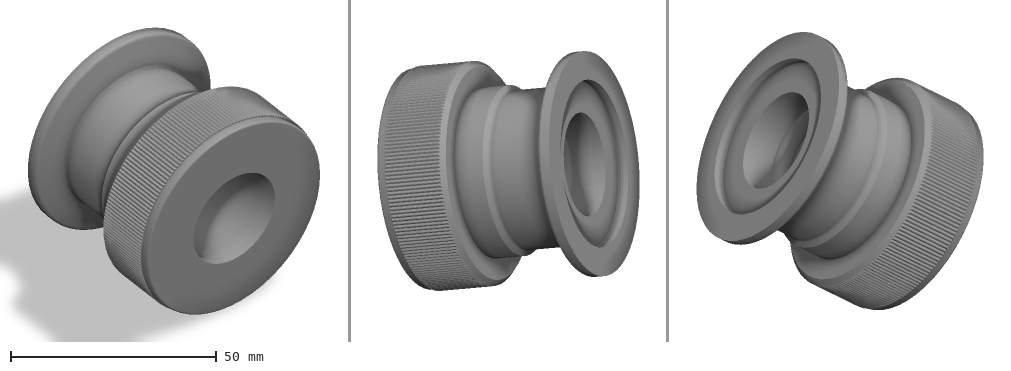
import cadquery as cq
import math


flange_radius = 27.5
flange_rim_end = 2.95
flange_cone_angle = 15.0
flange_rim_fillet = 1.0
neck_radius = 19.5
neck_end = 19.1
neck_fillet = 0.6
collar_radius = 20.9
collar_start = 20.5
collar_end = 41.05
recess_radius = 20.5
recess_depth = 2.6
recess_fillet = 0.3

bore_radius = 12.7
seal_inner_radius = 11.65
seal_section_radius = 2.9
seal_centre_radius = seal_inner_radius + seal_section_radius
seal_seat_radius = seal_inner_radius + 2 * seal_section_radius
seal_seat_start = 11.45
seal_centre_x = seal_seat_start + seal_section_radius
seal_seat_end = seal_seat_start + 2 * seal_section_radius

nut_start = 28.0
nut_end = 46.0
nut_radius = 27.05
nut_front_chamfer = 1.4
nut_back_fillet = 0.55
knurl_end = 43.6
knurl_radius = 27.5
knurl_root_radius = 27.15
knurl_count = 180
knurl_groove_angle = 97.0

flange_cone_end = flange_rim_end + (flange_radius - neck_radius) * math.tan(math.radians(flange_cone_angle))


def disc(radius, start, end):
    """Solid cylinder on the X axis between two stations."""
    return cq.Workplane("YZ", origin=(start, 0, 0)).circle(radius).extrude(end - start)


def round_circles_at(solid, x, radius):
    """Fillet the circular edge centred on the axis at station x."""
    margin = 0.05
    slab = cq.selectors.BoxSelector((x - margin, -margin, -margin), (x + margin, margin, margin))
    return solid.edges(slab).fillet(radius)


def make_flange_body():
    """Flange, neck and collar, bored through and counterbored for the seal."""
    outline = [
        (0, 0),
        (0, flange_radius),
        (flange_rim_end, flange_radius),
        (flange_cone_end, neck_radius),
        (neck_end, neck_radius),
        (collar_start, collar_radius),
        (collar_end, collar_radius),
        (collar_end, 0),
    ]
    body = cq.Workplane("XY").polyline(outline).close().revolve(360, (0, 0, 0), (1, 0, 0))
    body = round_circles_at(body, flange_rim_end, flange_rim_fillet)
    body = round_circles_at(body, flange_cone_end, neck_fillet)
    body = round_circles_at(body, neck_end, neck_fillet)

    face_recess = disc(recess_radius, 0, recess_depth).faces(">X").edges().fillet(recess_fillet)
    bore = disc(bore_radius, 0, collar_end)
    seal_seat = disc(seal_seat_radius, seal_seat_start, collar_end)
    return body.cut(face_recess).cut(bore).cut(seal_seat)


def make_seal():
    """O-ring held between the seat in the body and the end of the nut sleeve."""
    return (
        cq.Workplane("XY")
        .center(seal_centre_x, seal_centre_radius)
        .circle(seal_section_radius)
        .revolve(360, (0, -seal_centre_radius, 0), (1, -seal_centre_radius, 0))
    )


def make_knurl():
    """Band of straight V grooves with a narrow land left between neighbours."""
    pitch_angle = 2 * math.pi / knurl_count
    groove_depth = knurl_radius - knurl_root_radius
    groove_half_width = groove_depth * math.tan(math.radians(knurl_groove_angle / 2))
    groove_half_angle = groove_half_width / knurl_radius
    points = []
    for index in range(knurl_count):
        root_angle = index * pitch_angle
        for offset, radius in (
            (-groove_half_angle, knurl_radius),
            (0, knurl_root_radius),
            (groove_half_angle, knurl_radius),
        ):
            angle = root_angle + offset
            points.append((radius * math.cos(angle), radius * math.sin(angle)))
    band = cq.Workplane("YZ", origin=(nut_start, 0, 0)).polyline(points).close()
    return band.extrude(knurl_end - nut_start)


def make_nut():
    """Knurled cap over the collar, with an inner sleeve that presses on the seal."""
    cap = disc(nut_radius, nut_start, nut_end).faces(">X").edges().fillet(nut_back_fillet)
    chamfered_blank = disc(knurl_radius, nut_start, nut_end).faces("<X").edges().chamfer(nut_front_chamfer)
    collar_pocket = disc(collar_radius, nut_start, collar_end)
    sleeve = disc(seal_seat_radius, seal_seat_end, collar_end)
    bore = disc(bore_radius, seal_seat_end, nut_end)
    grip = cap.union(make_knurl()).intersect(chamfered_blank)
    return grip.cut(collar_pocket).union(sleeve).cut(bore)


flange_body = make_flange_body().solids()
seal = make_seal().solids()
nut = make_nut().solids()

result = cq.Compound.makeCompound([flange_body.val(), seal.val(), nut.val()])